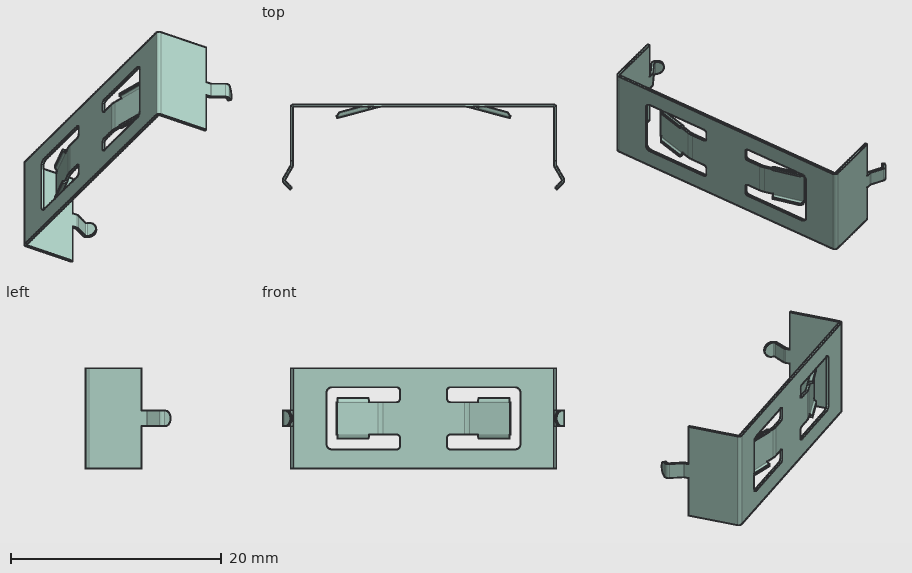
import cadquery as cq
import math


sheet = 0.25
bend_inside = 0.15
bend_outside = bend_inside + sheet

overall_width = 26.72
wall_outer_x = 12.6
wall_depth = 5.35
height = 9.55
corner_outside = 0.32

overall_depth = 8.1
tab_width = 1.5
tab_straight = 0.43
tab_flare = 30.0
tab_return = 45.0

slot_far_x = 9.2
slot_near_x = 2.25
slot_height = 5.88
slot_far_radius = 0.5
slot_near_radius = 0.3

tongue_width = 3.1
tongue_root_x = 3.85
tongue_angle = 15.0
tongue_bend_radius = 1.87
tongue_length = 4.0

wing_length = 3.07
wing_leg = 0.1
wing_tip_gap = 0.08
wing_chamfer = 0.27


def step(point, heading, distance):
    """Point reached by moving a distance along a heading in degrees."""
    angle = math.radians(heading)
    return point[0] + distance * math.cos(angle), point[1] + distance * math.sin(angle)


def bent_strip(plane, start, heading, moves, width):
    """Sheet strip traced along its right-hand face, the sheet lying to its left.

    A move is (length, None) for a flat, or (face radius, turn in degrees) for a
    bend, where a positive turn is to the left. The strip is extruded by width.
    """
    face = [start]
    back = [step(start, heading + 90, sheet)]
    middles = []
    for size, turn in moves:
        if turn is None:
            face.append(step(face[-1], heading, size))
            middles.append(None)
        else:
            side = math.copysign(90, turn)
            center = step(face[-1], heading + side, size)
            back_radius = size - math.copysign(sheet, turn)
            half_way = heading + turn / 2 - side
            middles.append((step(center, half_way, size), step(center, half_way, back_radius)))
            heading += turn
            face.append(step(center, heading - side, size))
        back.append(step(face[-1], heading + 90, sheet))

    outline = cq.Workplane(plane).moveTo(*face[0])
    for middle, end in zip(middles, face[1:]):
        outline = outline.lineTo(*end) if middle is None else outline.threePointArc(middle[0], end)
    outline = outline.lineTo(*back[-1])
    for middle, end in zip(reversed(middles), reversed(back[:-1])):
        outline = outline.lineTo(*end) if middle is None else outline.threePointArc(middle[1], end)
    return outline.close().extrude(width)


def level_plane(z):
    """Horizontal plane at height z, sharing the X and Y axes of the part."""
    return cq.Plane(origin=(0, 0, z), xDir=(1, 0, 0), normal=(0, 0, 1))


def half_shell():
    """Left half of the plate with its side wall."""
    moves = [
        (wall_outer_x - corner_outside, None),
        (corner_outside, 90),
        (wall_depth - corner_outside, None),
    ]
    return bent_strip(level_plane(-height / 2), (0, 0), 180, moves, height)


def slot_block(far_x, block_height):
    """Block through the plate, from the slot end nearest the middle out to far_x."""
    cutter_depth = 4 * sheet
    block = cq.Workplane("XY").box(far_x - slot_near_x, cutter_depth, block_height)
    return block.translate((-(far_x + slot_near_x) / 2, 0, 0))


def slot():
    """C-shaped opening that frees the left tongue."""
    opening = slot_block(slot_far_x, slot_height)
    root = slot_block(tongue_root_x, tongue_width)
    far_rounded = opening.edges("|Y and <X").fillet(slot_far_radius)
    return far_rounded.cut(root).edges("|Y and >X").fillet(slot_near_radius)


def tongue():
    """Left tongue, bent forward out of the plate, with its two wings."""
    slope = math.radians(tongue_angle)
    root = (-tongue_root_x, 0)
    moves = [(tongue_bend_radius + sheet, tongue_angle), (tongue_length, None)]
    blade = bent_strip(level_plane(-tongue_width / 2), root, 180, moves, tongue_width)

    bend_end = (
        -tongue_root_x - tongue_bend_radius * math.sin(slope),
        -sheet - tongue_bend_radius * (1 - math.cos(slope)),
    )
    tip_heading = 180 + tongue_angle
    wing_end = step(bend_end, tip_heading, tongue_length - wing_tip_gap)
    wing_start = step(wing_end, tip_heading, -wing_length)
    outward = step((0, 0), tip_heading, 1)
    inward = step((0, 0), tongue_angle, 1)

    wing_section = cq.Plane(origin=(*wing_start, 0), xDir=(0, 0, 1), normal=(*outward, 0))
    wing_moves = [(bend_outside, 90), (wing_leg, None)]
    wing = bent_strip(wing_section, (tongue_width / 2, 0), 0, wing_moves, wing_length)

    wing_rise = bend_outside + wing_leg
    chamfer_plane = cq.Plane(origin=(*wing_end, 0), xDir=(*inward, 0), normal=(0, 0, 1))
    corner = (
        cq.Workplane(chamfer_plane)
        .moveTo(0, wing_rise - wing_chamfer)
        .lineTo(wing_chamfer, wing_rise)
        .lineTo(0, wing_rise)
        .close()
        .extrude(tongue_width)
    )
    wing = wing.cut(corner)
    return blade.union(wing).union(wing.mirror("XY"))


def tab():
    """Left snap tab: flared outward, then returned inward to a round end."""
    flare = math.radians(tab_flare)
    back_turn = math.radians(tab_return)
    flare_x = overall_width / 2 - wall_outer_x - (bend_inside + bend_outside) * (1 - math.cos(flare))
    flare_length = flare_x / math.sin(flare)
    return_start_y = (
        wall_depth
        + tab_straight
        + bend_inside * math.sin(flare)
        + flare_length * math.cos(flare)
        + bend_outside * (math.sin(flare) + math.sin(back_turn))
    )
    end_radius = tab_width / 2
    return_flat = (overall_depth - return_start_y) / math.cos(back_turn) - end_radius
    moves = [
        (tab_straight, None),
        (bend_inside, -tab_flare),
        (flare_length, None),
        (bend_outside, tab_flare + tab_return),
        (return_flat, None),
    ]
    start = (-wall_outer_x, -wall_depth)
    strip = bent_strip(level_plane(-tab_width / 2), start, -90, moves, tab_width)

    end_heading = tab_return - 90
    bend_end = (-overall_width / 2 + bend_outside * (1 - math.cos(back_turn)), -return_start_y)
    center = step(bend_end, end_heading, return_flat)
    along = step((0, 0), end_heading, 1)
    outward = step((0, 0), end_heading - 90, 1)
    outer_face = cq.Plane(origin=(*center, 0), xDir=(*along, 0), normal=(*outward, 0))
    round_end = (
        cq.Workplane(outer_face)
        .moveTo(0, end_radius)
        .threePointArc((end_radius, 0), (0, -end_radius))
        .close()
        .extrude(-sheet)
    )
    return strip.union(round_end)


half = half_shell().cut(slot()).union(tongue()).union(tab())
result = half.union(half.mirror("YZ"))